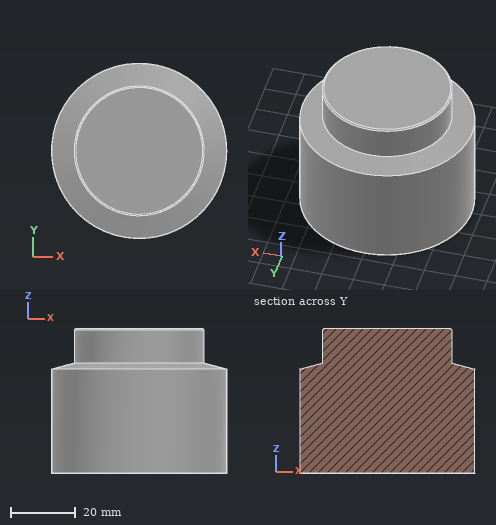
import cadquery as cq
import math

body_diameter = 54.0
neck_diameter = 40.0
total_height = 44.67
neck_base = 34.0
shoulder_angle = 15.0
top_chamfer = 0.45

body_radius = body_diameter / 2
neck_radius = neck_diameter / 2
shoulder_rise = (body_radius - neck_radius) * math.tan(math.radians(shoulder_angle))
body_height = neck_base - shoulder_rise


def make_turned_body():
    """Revolve the half profile: cylinder, conical shoulder and neck."""
    profile = (
        cq.Workplane("XZ")
        .lineTo(body_radius, 0)
        .lineTo(body_radius, body_height)
        .lineTo(neck_radius, neck_base)
        .lineTo(neck_radius, total_height)
        .lineTo(0, total_height)
        .close()
    )
    return profile.revolve(360, (0, 0, 0), (0, 1, 0))


result = make_turned_body().faces(">Z").edges().chamfer(top_chamfer)